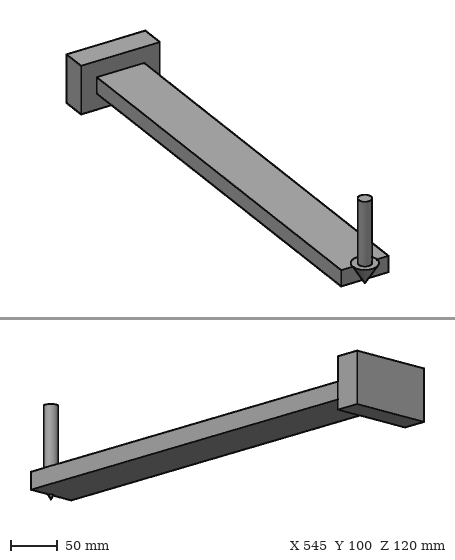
import cadquery as cq

block_length = 30.0
block_width = 100.0
block_height = 60.0

arm_length = 500.0
arm_width = 60.0
arm_thickness = 20.0
arm_end_x = block_length + arm_length
arm_top_z = arm_thickness / 2

pin_diameter = 16.0
pin_top_z = 90.0
pin_height = pin_top_z - arm_top_z
overall_length = 545.0
cone_radius = overall_length - arm_end_x
cone_height = 25.0


def make_block():
    return cq.Workplane("XY").box(
        block_length, block_width, block_height, centered=(False, True, True)
    )


def make_pin():
    """Round shank above the arm, widening to a cone that points down."""
    shank = (
        cq.Workplane("XY", origin=(arm_end_x, 0, arm_top_z))
        .circle(pin_diameter / 2)
        .extrude(pin_height)
    )
    cone = cq.Solid.makeCone(
        cone_radius, 0, cone_height,
        pnt=cq.Vector(arm_end_x, 0, arm_top_z),
        dir=cq.Vector(0, 0, -1),
    )
    return shank.union(cq.Workplane(cone))


def make_arm(seated_pin):
    """Flat bar with a recess in its end that fits the cone of the pin."""
    bar = cq.Workplane("XY", origin=(block_length, 0, 0)).box(
        arm_length, arm_width, arm_thickness, centered=(False, True, True)
    )
    return bar.cut(seated_pin)


block = make_block()
pin = make_pin()
arm = make_arm(pin)

result = cq.Compound.makeCompound([block.val(), arm.val(), *pin.solids().vals()])